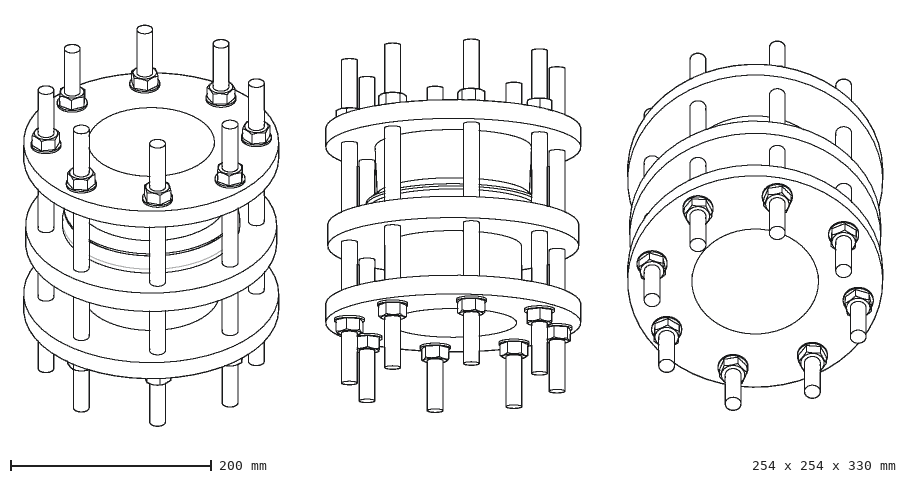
import cadquery as cq
import math


flange_diameter = 254.0
flange_thickness = 19.0
flange_outer_face_z = 99.3
flange_inner_face_z = flange_outer_face_z - flange_thickness
bore_diameter = 126.0

gland_diameter = 250.0
gland_top_z = 1.0
gland_thickness = 21.8
gland_bottom_z = gland_top_z - gland_thickness

pipe_diameter = 136.0

neck_top_radius = 78.0
neck_bottom_radius = 76.0
collar_top_z = 31.5
collar_rim_top_z = 22.8
collar_rim_bottom_z = 20.5
collar_radius = 86.8
groove_z = 18.0
groove_radius = 83.5
bead_diameter = 177.0
bead_radius = bead_diameter / 2
bead_shoulder_z = 5.5

rod_count = 8
rod_diameter = 16.0
rod_length = 330.0
rod_circle_radius = 105.0
rod_step_angle = 360 / rod_count
first_rod_angle = rod_step_angle / 2

washer_diameter = 30.0
washer_thickness = 2.0
nut_across_flats = 24.0
nut_across_corners = nut_across_flats / math.cos(math.pi / 6)
nut_height = 12.5
nut_chamfer_height = 1.3
nut_chamfer_width = 2.3
nut_turn = 7.5


def disc(diameter, bottom_z, height):
    """Solid cylinder on the Z axis."""
    return cq.Workplane("XY").workplane(offset=bottom_z).circle(diameter / 2).extrude(height)


def make_socket_body():
    """Revolved body reaching from the gland ring to the upper flange."""
    bead_height = groove_z - bead_shoulder_z
    bead_width = bead_radius - groove_radius
    arc_radius = (bead_height**2 + bead_width**2) / (2 * bead_width)
    half_angle = math.asin(bead_height / arc_radius) / 2
    arc_middle = (
        bead_radius - arc_radius * (1 - math.cos(half_angle)),
        bead_shoulder_z + arc_radius * math.sin(half_angle),
    )
    return (
        cq.Workplane("XZ")
        .moveTo(0, gland_top_z)
        .lineTo(bead_radius, gland_top_z)
        .lineTo(bead_radius, bead_shoulder_z)
        .threePointArc(arc_middle, (groove_radius, groove_z))
        .lineTo(collar_radius, collar_rim_bottom_z)
        .lineTo(collar_radius, collar_rim_top_z)
        .lineTo(neck_bottom_radius, collar_top_z)
        .lineTo(neck_top_radius, flange_inner_face_z)
        .lineTo(0, flange_inner_face_z)
        .close()
        .revolve(360, (0, 0, 0), (0, 1, 0))
    )


def make_joint_body():
    """Flanges, gland ring, socket and pipe with the bore through all of them."""
    body = disc(flange_diameter, flange_inner_face_z, flange_thickness)
    body = body.union(disc(flange_diameter, -flange_outer_face_z, flange_thickness))
    body = body.union(disc(gland_diameter, gland_bottom_z, gland_thickness))
    body = body.union(disc(pipe_diameter, -flange_inner_face_z, flange_inner_face_z + gland_bottom_z))
    body = body.union(make_socket_body())
    return body.cut(disc(bore_diameter, -flange_outer_face_z, 2 * flange_outer_face_z))


def make_upper_nut():
    """Washer and hexagon nut on the Z axis, seated on the upper flange."""
    seat_z = flange_outer_face_z + washer_thickness
    hexagon = cq.Workplane("XY").workplane(offset=seat_z).polygon(6, nut_across_corners).extrude(nut_height)
    corner_limit = (
        disc(nut_across_corners, seat_z, nut_height)
        .faces(">Z")
        .chamfer(nut_chamfer_height, nut_chamfer_width)
    )
    nut = hexagon.intersect(corner_limit).rotate((0, 0, 0), (0, 0, 1), nut_turn)
    return nut.union(disc(washer_diameter, flange_outer_face_z, washer_thickness))


def make_tie_rod():
    """Full-length rod with a washer and nut outside each flange, at angle zero."""
    upper_nut = make_upper_nut()
    rod = disc(rod_diameter, -rod_length / 2, rod_length)
    rod = rod.union(upper_nut).union(upper_nut.mirror("XY"))
    return rod.translate((rod_circle_radius, 0, 0))


result = make_joint_body()
tie_rod = make_tie_rod()
for index in range(rod_count):
    angle = first_rod_angle + index * rod_step_angle
    result = result.union(tie_rod.rotate((0, 0, 0), (0, 0, 1), angle))